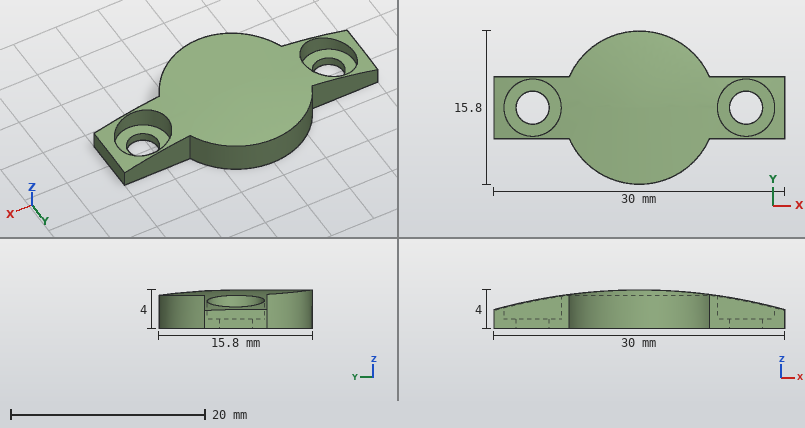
import cadquery as cq
import math

length = 30.0
disc_diameter = 15.8
arm_width = 6.42

crown_height = 4.0
end_height = 1.95
half_length = length / 2
crown_drop = crown_height - end_height
crown_radius = (half_length**2 + crown_drop**2) / (2 * crown_drop)

hole_spacing = 22.0
hole_diameter = 3.4
counterbore_diameter = 5.9
counterbore_floor = 1.0


def make_blank():
    """Flat-bottomed disc with an arm on each side, before the top is crowned."""
    disc = cq.Workplane("XY").circle(disc_diameter / 2).extrude(crown_height)
    arms = cq.Workplane("XY").rect(length, arm_width).extrude(crown_height)
    return disc.union(arms)


def make_front_half(blank):
    """-Y half: its top is an arch, straight along Y."""
    arch = (
        cq.Workplane("XZ")
        .moveTo(-half_length, 0)
        .lineTo(half_length, 0)
        .lineTo(half_length, end_height)
        .threePointArc((0, crown_height), (-half_length, end_height))
        .close()
        .extrude(disc_diameter)
    )
    return blank.intersect(arch)


def make_back_half(blank):
    """+Y half: its top is a dome with the same radius as the arch."""
    back_space = cq.Workplane("XY").box(length, disc_diameter, crown_height, (True, False, False))
    crown_center = crown_height - crown_radius
    dome_reach = length
    dome_edge = crown_center + math.sqrt(crown_radius**2 - dome_reach**2)
    dome = (
        cq.Workplane("YZ")
        .moveTo(0, crown_center)
        .lineTo(dome_reach, crown_center)
        .lineTo(dome_reach, dome_edge)
        .threePointArc((half_length, end_height), (0, crown_height))
        .close()
        .revolve(360, (0, 0), (0, 1))
    )
    return blank.intersect(back_space).intersect(dome)


def cut_screw_holes(body):
    """Through hole and flat-floored counterbore at each end."""
    centers = [(-hole_spacing / 2, 0), (hole_spacing / 2, 0)]
    holes = cq.Workplane("XY").pushPoints(centers).circle(hole_diameter / 2).extrude(crown_height)
    counterbores = (
        cq.Workplane("XY", origin=(0, 0, counterbore_floor))
        .pushPoints(centers)
        .circle(counterbore_diameter / 2)
        .extrude(crown_height)
    )
    return body.cut(holes).cut(counterbores)


blank = cut_screw_holes(make_blank())
result = make_front_half(blank).union(make_back_half(blank))